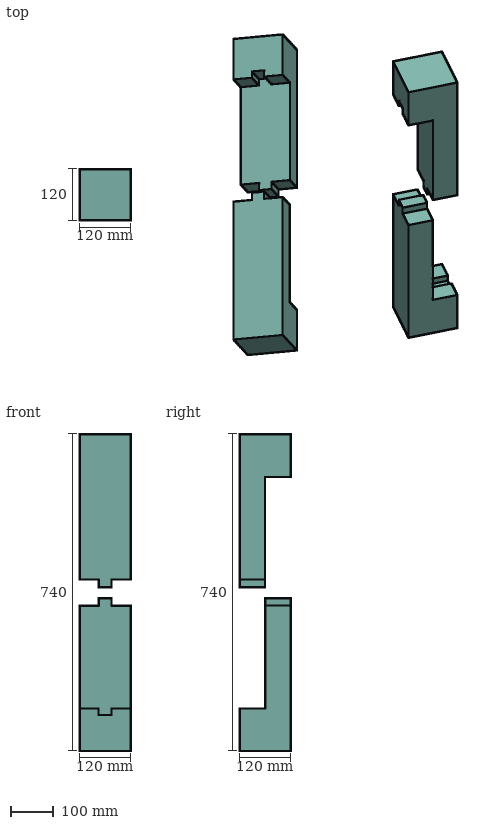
import cadquery as cq

total_height = 740.0
width = 120.0
depth = 120.0
arm_depth = depth / 2

shoulder_height = 340.0
block_height = 100.0
tenon_width = 30.0
tenon_height = 18.0
slot_depth = 15.5


def hooked_profile():
    """L-shaped side outline extruded across X: arm at +Y, foot over the full depth."""
    front = -depth / 2
    back = depth / 2
    arm_front = back - arm_depth
    return (
        cq.Workplane("YZ")
        .moveTo(front, 0)
        .lineTo(back, 0)
        .lineTo(back, shoulder_height)
        .lineTo(arm_front, shoulder_height)
        .lineTo(arm_front, block_height)
        .lineTo(front, block_height)
        .close()
        .extrude(width / 2, both=True)
    )


def tenon():
    """Tongue on the end of the arm, over the full arm depth."""
    return (
        cq.Workplane("XY")
        .box(tenon_width, arm_depth, tenon_height, centered=(True, True, False))
        .translate((0, (depth - arm_depth) / 2, shoulder_height))
    )


def block_slot():
    """Groove in the exposed top of the block, open at the front and ending at the arm."""
    slot_length = depth - arm_depth
    return (
        cq.Workplane("XY")
        .box(tenon_width, slot_length, slot_depth, centered=(True, True, False))
        .translate((0, -arm_depth / 2, block_height - slot_depth))
    )


def joint_half():
    """One half standing on Z = 0 with its arm at +Y."""
    return hooked_profile().union(tenon()).cut(block_slot())


half_turn = 180
mid_height = total_height / 2
halves = []
for angle in (0, half_turn):
    half = joint_half().rotate((0, 0, mid_height), (1, 0, mid_height), angle)
    halves.append(half.val())

result = cq.Compound.makeCompound(halves)